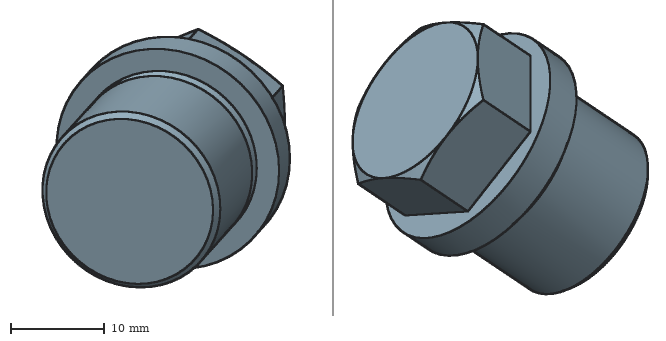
import cadquery as cq
import math

total_length = 26.0
flange_diameter = 25.0
shank_diameter = 20.0
hex_across_flats = 19.0
head_length = 8.0
flange_thickness = 4.0
end_chamfer = 0.62
groove_depth = 0.62
groove_length = 1.05
head_chamfer_angle = 30.0

shank_radius = shank_diameter / 2
flange_radius = flange_diameter / 2
groove_radius = shank_radius - groove_depth
hex_corner_diameter = hex_across_flats / math.cos(math.radians(30))
flange_front = total_length - head_length - flange_thickness
flange_back = flange_front + flange_thickness
groove_bottom = flange_front - groove_length


def make_shank_and_flange():
    """Revolve the half profile of the chamfered shank, V groove and flange."""
    profile = [
        (0, 0),
        (shank_radius - end_chamfer, 0),
        (shank_radius, end_chamfer),
        (shank_radius, groove_bottom - groove_depth),
        (groove_radius, groove_bottom),
        (shank_radius, flange_front),
        (flange_radius, flange_front),
        (flange_radius, flange_back),
        (0, flange_back),
    ]
    return cq.Workplane("XY").polyline(profile).close().revolve(360, (0, 0, 0), (0, 1, 0))


def make_hex_head():
    """Make the hexagon with flats facing X, its outer corners trimmed by a cone."""
    hexagon = (
        cq.Workplane("XZ", origin=(0, flange_back, 0))
        .transformed(rotate=(0, 0, 90))
        .polygon(6, hex_corner_diameter)
        .extrude(-head_length)
    )
    face_radius = hex_across_flats / 2
    corner_radius = hex_corner_diameter / 2
    chamfer_length = (corner_radius - face_radius) * math.tan(math.radians(head_chamfer_angle))
    envelope = (
        cq.Workplane("XY")
        .polyline([
            (0, flange_back),
            (corner_radius, flange_back),
            (corner_radius, total_length - chamfer_length),
            (face_radius, total_length),
            (0, total_length),
        ])
        .close()
        .revolve(360, (0, 0, 0), (0, 1, 0))
    )
    return hexagon.intersect(envelope)


result = make_shank_and_flange().union(make_hex_head())